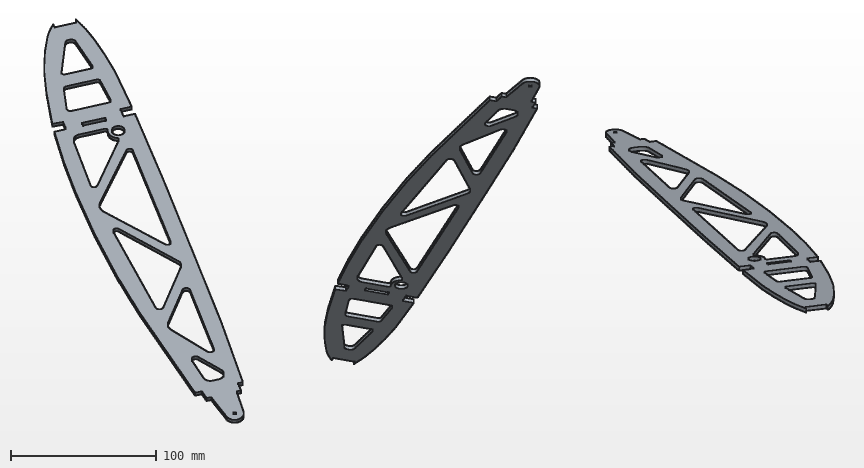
import cadquery as cq
import math

length = 402.0
thickness = 3.0

nose_face_x = 3.2
nose_tip_top = 9.0
nose_tip_bottom = -7.2
nose_shoulder = 8.5
upper_nose_curve = [(13.3, 13.3), (26.5, 16.0), (43.5, 18.5), (56.0, 19.7), (82.5, 20.5), (112.5, 21.0)]
upper_rear_curve = [(161.0, 20.5), (246.5, 19.0), (325.7, 17.0)]
lower_curve = [
    (328.5, -26.5), (266.0, -35.8), (216.5, -40.0), (165.0, -41.0), (121.0, -39.5),
    (83.5, -35.5), (59.5, -31.0), (36.5, -25.5), (20.0, -19.5), (7.2, -13.0),
]

step_x = 368.8
tail_x = 376.0
step_upper = (14.5, 11.0)
step_lower = (-20.0, -15.3, -14.0)
tail_root_top = 7.5
tail_root_bottom = -11.0
tail_radius = 6.5
tail_center = length - tail_radius
tail_hole_radius = 1.0

notch_left = 92.0
notch_right = 99.5
notch_flare = 1.2
upper_notch_floor = 12.5
lower_notch_floor = -29.0
lower_notch_radius = 1.5
notch_reach = 48.3
slot_left = 97.0
slot_right = 99.7
slot_top = 0.0
slot_bottom = -17.0
hole_x = 111.5
hole_y = 5.0
hole_radius = 4.5
hole_rim_radius = 7.2
rim_blend = 1.5
blend_reach = 10.0

windows = [
    [(17.5, 2.0, 3.2), (48.5, 7.0, 2.0), (48.5, -17.0, 2.0), (17.5, -4.0, 3.2)],
    [(60.0, 7.2, 2.0), (83.5, 9.0, 2.5), (83.5, -23.5, 2.5), (60.0, -18.5, 3.0)],
    [(125.5, 9.0, 2.5), (231.5, 7.2, 2.5), (178.5, -31.5, 8.0)],
    [(247.0, 9.0, 5.2), (195.0, -28.0, 2.5), (290.0, -21.0, 3.0)],
    [(264.0, 6.5, 3.0), (341.0, 5.0, 3.0), (302.0, -20.0, 7.2)],
    [(326.5, -14.5, 3.0), (361.0, 9.2, 5.2), (361.0, -9.5, 5.2)],
]
front_window_left = 107.0
front_window = [
    (front_window_left, hole_y, 0),
    (117.0, hole_y, 0),
    (164.0, -29.5, 2.5),
    (front_window_left, -27.5, 5.5),
]


def prism(corners):
    """Plate-thick prism with each corner rounded by its own radius."""
    body = cq.Workplane("XY").polyline([(x, y) for x, y, _ in corners]).close().extrude(thickness)
    for x, y, radius in corners:
        if radius > 0:
            near_corner = cq.selectors.NearestToPointSelector((x, y, thickness / 2))
            body = body.edges("|Z").edges(near_corner).fillet(radius)
    return body


def disc(x, y, radius):
    return cq.Workplane("XY").center(x, y).circle(radius).extrude(thickness)


def tail_tangent(x, y, side):
    """Point where a line from (x, y) touches the tail round; side is 1 above, -1 below."""
    dx = x - tail_center
    bearing = math.atan2(y, dx)
    angle = bearing - side * math.acos(tail_radius / math.hypot(dx, y))
    return tail_center + tail_radius * math.cos(angle), tail_radius * math.sin(angle)


def blank():
    """Solid rib with the nose recess and the stepped tail."""
    return (
        cq.Workplane("XY")
        .moveTo(nose_face_x, nose_shoulder)
        .lineTo(0, nose_tip_top)
        .spline(upper_nose_curve + upper_rear_curve + [(step_x, step_upper[0])], includeCurrent=True)
        .lineTo(step_x, step_upper[1])
        .lineTo(tail_x, step_upper[1])
        .lineTo(tail_x, tail_root_top)
        .lineTo(*tail_tangent(tail_x, tail_root_top, 1))
        .threePointArc((length, 0), tail_tangent(tail_x, tail_root_bottom, -1))
        .lineTo(tail_x, tail_root_bottom)
        .lineTo(tail_x, step_lower[2])
        .lineTo(step_x, step_lower[1])
        .lineTo(step_x, step_lower[0])
        .spline(lower_curve + [(0, nose_tip_bottom)], includeCurrent=True)
        .lineTo(nose_face_x, nose_tip_bottom)
        .close()
        .extrude(thickness)
    )


def spar_notches():
    """Square notch in the upper edge and flared notch in the lower edge."""
    upper = prism([
        (notch_left, upper_notch_floor, 0),
        (notch_right, upper_notch_floor, 0),
        (notch_right, notch_reach, 0),
        (notch_left, notch_reach, 0),
    ])
    lower = prism([
        (notch_left, lower_notch_floor, 0),
        (notch_right, lower_notch_floor, lower_notch_radius),
        (notch_right, -notch_reach, 0),
        (notch_left - notch_flare, -notch_reach, 0),
    ])
    return upper.union(lower)


def key_slot():
    return prism([
        (slot_left, slot_top, 0),
        (slot_right, slot_top, 0),
        (slot_right, slot_bottom, 0),
        (slot_left, slot_bottom, 0),
    ])


def window_around_hole():
    """Front window that keeps a round rim of material about the wire hole."""
    window = prism(front_window).cut(disc(hole_x, hole_y, hole_rim_radius))
    rim_zone = cq.selectors.BoxSelector(
        (hole_x - blend_reach, hole_y - blend_reach, 0),
        (hole_x + blend_reach, hole_y + blend_reach, thickness),
    )
    return window.edges("|Z").edges(rim_zone).fillet(rim_blend)


result = blank().cut(spar_notches()).cut(key_slot())
for corners in windows:
    result = result.cut(prism(corners))
result = result.cut(window_around_hole())
result = result.cut(disc(hole_x, hole_y, hole_radius))
result = result.cut(disc(tail_center, 0, tail_hole_radius))